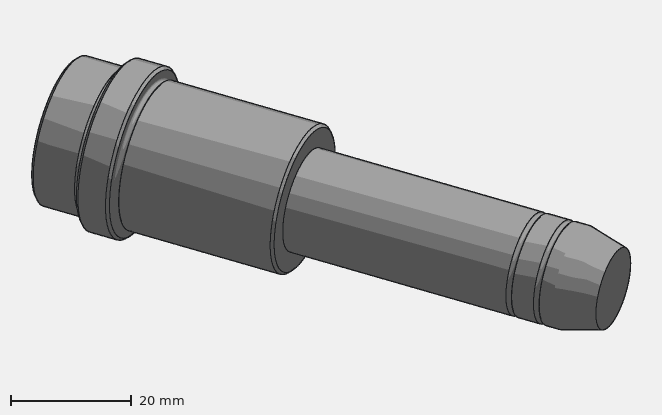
import cadquery as cq
import math

total_length = 100.0
head_radius = 13.0
collar_radius = 15.0
shank_radius = 9.0
edge_chamfer = 0.5

collar_start = 9.0
collar_end = 15.0
body_end = 44.0

relief_width = 1.0
relief_radius = relief_width / 2
head_end = collar_start - relief_width
body_start = collar_end + relief_width

ring_groove_centers = (85.0, 90.0)
ring_groove_radius = 0.5

tip_length = 7.0
tip_angle = math.radians(15)
tip_start = total_length - tip_length
tip_radius = shank_radius - tip_length * math.tan(tip_angle)


def make_pin():
    """Solid revolved about X from a half profile, running from the head to the tip."""
    relief_bottom = head_radius - relief_radius
    profile = (
        cq.Workplane("XY")
        .lineTo(0, head_radius - edge_chamfer)
        .lineTo(edge_chamfer, head_radius)
        .lineTo(head_end, head_radius)
        .threePointArc((head_end + relief_radius, relief_bottom), (collar_start, head_radius))
        .lineTo(collar_start, collar_radius - edge_chamfer)
        .lineTo(collar_start + edge_chamfer, collar_radius)
        .lineTo(collar_end - edge_chamfer, collar_radius)
        .lineTo(collar_end, collar_radius - edge_chamfer)
        .lineTo(collar_end, head_radius)
        .threePointArc((collar_end + relief_radius, relief_bottom), (body_start, head_radius))
        .lineTo(body_end - edge_chamfer, head_radius)
        .lineTo(body_end, head_radius - edge_chamfer)
        .lineTo(body_end, shank_radius)
        .lineTo(tip_start, shank_radius)
        .lineTo(total_length, tip_radius)
        .lineTo(total_length, 0)
        .close()
    )
    return profile.revolve(360, (0, 0, 0), (1, 0, 0))


def make_ring_groove(center):
    """Torus to cut from the shank surface."""
    section = cq.Workplane("XY").center(center, shank_radius).circle(ring_groove_radius)
    return section.revolve(360, (0, -shank_radius, 0), (1, -shank_radius, 0))


result = make_pin()
for groove_center in ring_groove_centers:
    result = result.cut(make_ring_groove(groove_center))